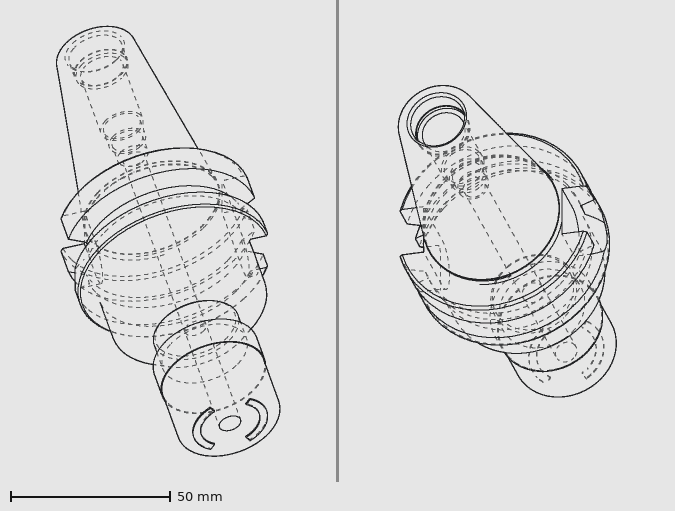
import cadquery as cq
import math

overall_length = 156.2
through_bore_d = 7.0
match_tolerance = 0.02

taper_small_d = 25.5
taper_big_d = 44.5
taper_length = 65.5
taper_end_fillet = 1.7

neck_d = 44.0
flange_d = 63.0
flange_start = 67.3
flange_end = 92.3
flange_front_chamfer = 1.0
flange_back_chamfer = 0.6

groove_d = 53.1
groove_floor_start = 79.7
groove_floor_end = 83.9
groove_side_run = 2.8

nose_d = 50.8
nose_cone_start = 109.0
nose_end = 115.9
nose_end_d = 37.2
nose_shoulder_fillet = 1.9
nose_end_fillet = 0.6
nose_root_fillet = 0.8

slot_width = 16.2
slot_floor = 22.5
short_slot_end = 88.4
long_slot_end = 98.5

mouth_d = 19.4
bore_steps = [(17.5, 6.9), (17.0, 8.3), (13.9, 31.2), (12.0, 37.5), (10.0, 43.7)]

shank_d = 28.0
shank_chamfer = 0.8
collar_start = 126.5
collar_end = 136.5
collar_d = 34.2
collar_fillet = 1.1
barrel_d = 33.6
barrel_end = 155.7
barrel_end_fillet = 1.9

lug_outer_d = 24.4
lug_inner_d = 19.4
lug_half_angle = 58.0


def revolve_x(outline):
    """Turn a closed XY outline (x, radius) about the X axis."""
    return outline.close().revolve(360, (0, 0, 0), (1, 0, 0))


def bore_cylinder(diameter, start, end):
    return cq.Workplane("YZ", origin=(start, 0, 0)).circle(diameter / 2).extrude(end - start)


def holder_blank():
    flange_r = flange_d / 2
    groove_r = groove_d / 2
    blank = revolve_x(
        cq.Workplane("XY")
        .moveTo(0, 0)
        .lineTo(0, taper_small_d / 2)
        .lineTo(taper_length, taper_big_d / 2)
        .lineTo(taper_length, neck_d / 2)
        .lineTo(flange_start, neck_d / 2)
        .lineTo(flange_start, flange_r - flange_front_chamfer)
        .lineTo(flange_start + flange_front_chamfer, flange_r)
        .lineTo(groove_floor_start - groove_side_run, flange_r)
        .lineTo(groove_floor_start, groove_r)
        .lineTo(groove_floor_end, groove_r)
        .lineTo(groove_floor_end + groove_side_run, flange_r)
        .lineTo(flange_end - flange_back_chamfer, flange_r)
        .lineTo(flange_end, flange_r - flange_back_chamfer)
        .lineTo(flange_end, nose_d / 2)
        .lineTo(nose_cone_start, nose_d / 2)
        .lineTo(nose_end, nose_end_d / 2)
        .lineTo(nose_end, 0)
    )
    return round_rims(blank, [
        (0, taper_small_d, taper_end_fillet),
        (flange_start, neck_d, nose_root_fillet),
        (flange_end, nose_d, nose_root_fillet),
        (nose_cone_start, nose_d, nose_shoulder_fillet),
        (nose_end, nose_end_d, nose_end_fillet),
    ])


def round_rims(body, rims):
    """Fillet the circular edges centred on the X axis, given as (x, diameter, fillet radius)."""
    for x, diameter, radius in rims:
        circles = body.edges("%CIRCLE").vals()
        edges = [
            edge for edge in circles
            if abs(edge.Center().x - x) < match_tolerance
            and abs(edge.radius() - diameter / 2) < match_tolerance
        ]
        body = body.newObject(edges).fillet(radius)
    return body


def drive_slot(side, end):
    """Round-ended slot cutter on the +Y (side=1) or -Y (side=-1) side."""
    half = slot_width / 2
    start = taper_length
    return (
        cq.Workplane("XZ", origin=(0, side * slot_floor, 0))
        .moveTo(start, -half)
        .lineTo(end - half, -half)
        .threePointArc((end, 0), (end - half, half))
        .lineTo(start, half)
        .close()
        .extrude(-side * flange_d)
    )


def bore_cone(start, start_d, end_d):
    """45 degree cone narrowing from start_d to end_d in the +X direction."""
    return (
        cq.Workplane("YZ", origin=(start, 0, 0))
        .circle(start_d / 2)
        .workplane(offset=(start_d - end_d) / 2)
        .circle(end_d / 2)
        .loft()
    )


def draw_bar_bore():
    first_d, _ = bore_steps[0]
    last_d, last_depth = bore_steps[-1]
    bore = bore_cone(0, mouth_d, first_d).union(bore_cone(last_depth, last_d, through_bore_d))
    for diameter, depth in bore_steps:
        bore = bore.union(bore_cylinder(diameter, 0, depth))
    return bore


def make_holder():
    return (
        holder_blank()
        .cut(drive_slot(-1, short_slot_end))
        .cut(drive_slot(1, long_slot_end))
        .cut(draw_bar_bore())
        .cut(bore_cylinder(through_bore_d, 0, nose_end))
    )


def end_lug(side):
    """Ring sector on the end face, on the +Y (side=1) or -Y (side=-1) side."""
    angle = math.radians(lug_half_angle)
    outer = lug_outer_d / 2
    inner = lug_inner_d / 2
    across = math.sin(angle)
    along = side * math.cos(angle)
    return (
        cq.Workplane("YZ", origin=(barrel_end, 0, 0))
        .moveTo(inner * along, -inner * across)
        .lineTo(outer * along, -outer * across)
        .threePointArc((side * outer, 0), (outer * along, outer * across))
        .lineTo(inner * along, inner * across)
        .threePointArc((side * inner, 0), (inner * along, -inner * across))
        .close()
        .extrude(overall_length - barrel_end)
    )


def make_head():
    shank_r = shank_d / 2
    blank = revolve_x(
        cq.Workplane("XY")
        .moveTo(nose_end, 0)
        .lineTo(nose_end, shank_r - shank_chamfer)
        .lineTo(nose_end + shank_chamfer, shank_r)
        .lineTo(collar_start, shank_r)
        .lineTo(collar_start, collar_d / 2)
        .lineTo(collar_end, collar_d / 2)
        .lineTo(collar_end, barrel_d / 2)
        .lineTo(barrel_end, barrel_d / 2)
        .lineTo(barrel_end, 0)
    )
    head = round_rims(blank, [
        (collar_start, collar_d, collar_fillet),
        (barrel_end, barrel_d, barrel_end_fillet),
    ])
    for side in (-1, 1):
        head = head.union(end_lug(side))
    return head.cut(bore_cylinder(through_bore_d, nose_end, overall_length))


holder = make_holder()
head = make_head()
result = cq.Compound.makeCompound([holder.val(), head.val()])